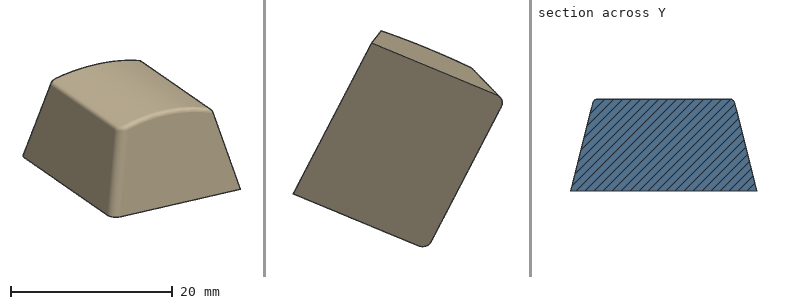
import cadquery as cq
import math

length_x = 23.05
width_y = 18.3
height = 11.4

wall_angle = 14
crown_radius = 21.9
corner_radius = 1.25
rim_radius = 0.62


def tapered_block():
    """Rectangular block whose four walls lean inward from the base to the crown height."""
    return cq.Workplane("XY").rect(length_x, width_y).extrude(height, taper=wall_angle)


def crown_envelope():
    """Prism along X whose upper face is the cylindrical crown, with its ridge over the base centre."""
    half_width = width_y / 2
    shoulder_drop = crown_radius - math.sqrt(crown_radius**2 - half_width**2)
    shoulder_height = height - shoulder_drop
    return (
        cq.Workplane("YZ")
        .moveTo(-half_width, 0)
        .lineTo(-half_width, shoulder_height)
        .threePointArc((0, height), (half_width, shoulder_height))
        .lineTo(half_width, 0)
        .close()
        .extrude(length_x / 2, both=True)
    )


def round_edges(body):
    """Round the two sloping front corners, then the whole rim of the crown; the back corners stay sharp."""
    front_corners = body.faces("<Y").edges("not #Z").edges("<X or >X")
    body = front_corners.fillet(corner_radius)
    return body.faces("%CYLINDER").faces(">Z").edges().fillet(rim_radius)


result = round_edges(tapered_block().intersect(crown_envelope()))